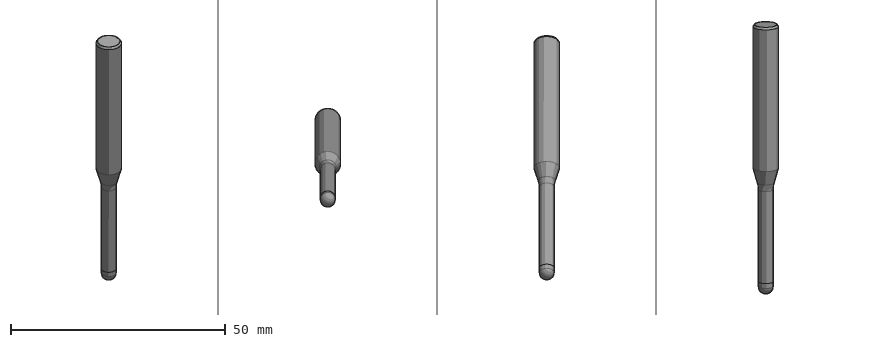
import cadquery as cq
import math

total_length = 65.0
shank_radius = 3.0
neck_radius = 1.75

shank_bottom = 30.3
chamfer_width = 0.4
chamfer_height = 0.5
taper_angle = math.radians(16)
neck_blend_radius = 6.0

ball_radius = neck_radius
tip_length = 2.9

cone_neck_corner = shank_bottom - (shank_radius - neck_radius) / math.tan(taper_angle)
blend_tangent = neck_blend_radius * math.tan(taper_angle / 2)
blend_bottom = cone_neck_corner - blend_tangent
blend_top = cone_neck_corner + blend_tangent * math.cos(taper_angle)
blend_top_radius = neck_radius + blend_tangent * math.sin(taper_angle)


def make_holder():
    """Chamfered shank, cone, concave blend and neck, revolved about Z."""
    return (
        cq.Workplane("XZ")
        .moveTo(0, tip_length)
        .lineTo(neck_radius, tip_length)
        .lineTo(neck_radius, blend_bottom)
        .tangentArcPoint((blend_top_radius, blend_top), relative=False)
        .lineTo(shank_radius, shank_bottom)
        .lineTo(shank_radius, total_length - chamfer_height)
        .lineTo(shank_radius - chamfer_width, total_length)
        .lineTo(0, total_length)
        .close()
        .revolve(360, (0, 0), (0, 1))
    )


def make_tip():
    """Short cylinder ending in a hemisphere, revolved about Z."""
    arc_offset = ball_radius * math.sin(math.radians(45))
    return (
        cq.Workplane("XZ")
        .moveTo(0, 0)
        .threePointArc((arc_offset, ball_radius - arc_offset), (ball_radius, ball_radius))
        .lineTo(ball_radius, tip_length)
        .lineTo(0, tip_length)
        .close()
        .revolve(360, (0, 0), (0, 1))
    )


holder = make_holder()
tip = make_tip()

result = cq.Compound.makeCompound([holder.val(), tip.val()])